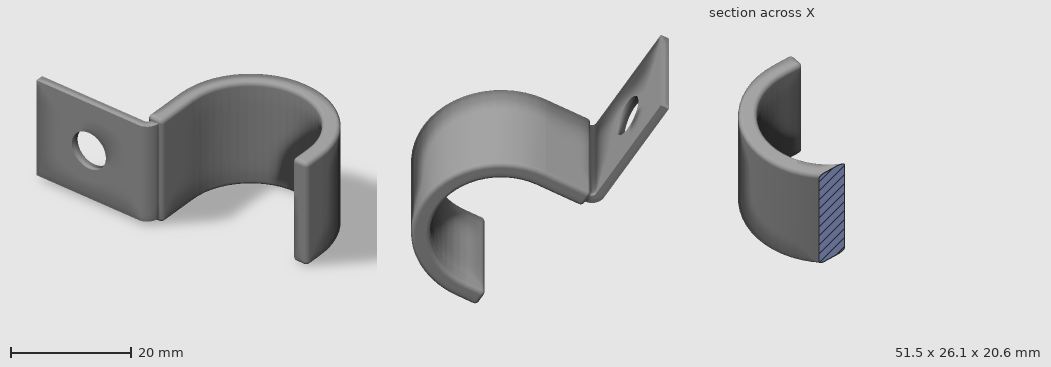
import cadquery as cq


overall_length = 51.5
cushion_radius = 15.0
cushion_thickness = 3.15
cushion_height = 20.65
edge_radius = 0.75
long_leg = 8.75
short_leg = 3.95

strap_thickness = 1.55
strap_height = cushion_height - 2 * edge_radius
flange_depth = 11.15
bend_inner_radius = 0.75
bend_outer_radius = bend_inner_radius + strap_thickness
strap_embed = 1.05

hole_diameter = 7.15
hole_from_end = 11.1

inner_radius = cushion_radius - cushion_thickness
flange_end_x = cushion_radius - overall_length
strap_outer_x = -cushion_radius + (cushion_thickness - strap_thickness) / 2
strap_inner_x = strap_outer_x + strap_thickness
bend_center_x = strap_inner_x - bend_outer_radius
bend_center_y = -flange_depth + bend_outer_radius
strap_top_y = -long_leg + strap_embed


def make_cushion():
    """U-shaped cushion with every sharp edge rounded."""
    body = (
        cq.Workplane("XY", origin=(0, 0, -cushion_height / 2))
        .moveTo(-cushion_radius, -long_leg)
        .lineTo(-cushion_radius, 0)
        .threePointArc((0, cushion_radius), (cushion_radius, 0))
        .lineTo(cushion_radius, -short_leg)
        .lineTo(inner_radius, -short_leg)
        .lineTo(inner_radius, 0)
        .threePointArc((0, inner_radius), (-inner_radius, 0))
        .lineTo(-inner_radius, -long_leg)
        .close()
        .extrude(cushion_height)
    )
    end_corners = body.edges(cq.selectors.BoxSelector(
        (-overall_length, -long_leg - edge_radius, -cushion_height),
        (overall_length, -short_leg + edge_radius, cushion_height),
    )).edges("|Z")
    rims = body.faces("|Z").edges()
    return body.newObject(end_corners.vals() + rims.vals()).fillet(edge_radius)


def make_strap():
    """Flat flange bent up into the long leg of the cushion."""
    return (
        cq.Workplane("XY", origin=(0, 0, -strap_height / 2))
        .moveTo(flange_end_x, -flange_depth)
        .lineTo(bend_center_x, -flange_depth)
        .radiusArc((strap_inner_x, bend_center_y), -bend_outer_radius)
        .lineTo(strap_inner_x, strap_top_y)
        .lineTo(strap_outer_x, strap_top_y)
        .lineTo(strap_outer_x, bend_center_y)
        .radiusArc((bend_center_x, bend_center_y - bend_inner_radius), bend_inner_radius)
        .lineTo(flange_end_x, -flange_depth + strap_thickness)
        .close()
        .extrude(strap_height)
    )


def make_hole():
    """Cutter for the round hole through the flange."""
    return (
        cq.Workplane("XZ", origin=(flange_end_x + hole_from_end, 0, 0))
        .circle(hole_diameter / 2)
        .extrude(flange_depth + strap_thickness)
    )


result = make_cushion().union(make_strap()).cut(make_hole())